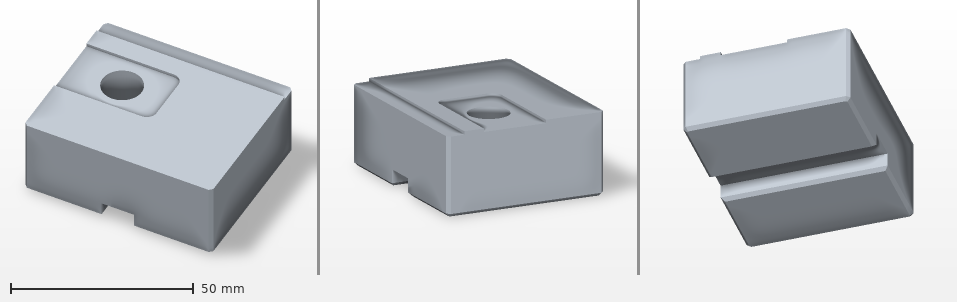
import cadquery as cq
import math

length = 58.0
width = 48.0
height = 24.0
edge_chamfer = 1.0

slot_width = 10.0
slot_depth = 5.0

recess_depth = 1.0
step_width = 5.1
pocket_length = 30.0
pocket_width = 19.0
pocket_corner_radius = 3.0

hole_diameter = 12.0
hole_depth = hole_diameter
drill_point_angle = 118.0
hole_x = 16.0
hole_y = width - 20.6

recess_floor = height - recess_depth


def make_block():
    """Slotted block with chamfered upright and bottom edges."""
    block = cq.Workplane("XY").box(length, width, height, centered=False)
    block = block.edges("|Z").chamfer(edge_chamfer)
    slot = (
        cq.Workplane("XY")
        .box(slot_width, width, slot_depth, centered=False)
        .translate(((length - slot_width) / 2, 0, 0))
    )
    return block.cut(slot).faces("<Z").edges().chamfer(edge_chamfer)


def make_back_step():
    """Material removed from the top along the back edge."""
    return (
        cq.Workplane("XY")
        .box(length, step_width, recess_depth, centered=False)
        .translate((0, width - step_width, recess_floor))
    )


def make_pocket():
    """Pocket open to the left side, centred in Y on the hole."""
    return (
        cq.Workplane("XY")
        .box(pocket_length, pocket_width, recess_depth, centered=False)
        .edges("|Z and >X")
        .fillet(pocket_corner_radius)
        .translate((0, hole_y - pocket_width / 2, recess_floor))
    )


def make_hole():
    """Drilled hole with a conical bottom, revolved about its own axis."""
    radius = hole_diameter / 2
    wall_end = recess_floor - hole_depth
    tip = wall_end - radius / math.tan(math.radians(drill_point_angle / 2))
    return (
        cq.Workplane("XZ")
        .moveTo(0, recess_floor)
        .lineTo(radius, recess_floor)
        .lineTo(radius, wall_end)
        .lineTo(0, tip)
        .close()
        .revolve(360, (0, 0, 0), (0, 1, 0))
        .translate((hole_x, hole_y, 0))
    )


result = make_block().cut(make_back_step()).cut(make_pocket()).cut(make_hole())